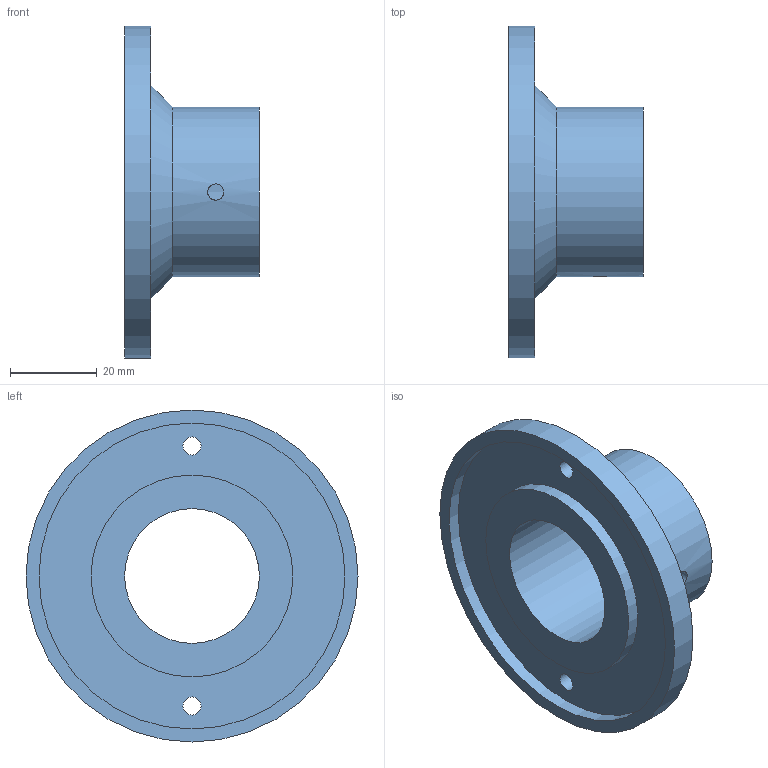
import cadquery as cq

total_length = 31.0
flange_diameter = 76.6
flange_thickness = 6.0
bore_diameter = 31.1
hub_wall = 4.0
hub_diameter = bore_diameter + 2 * hub_wall

cone_length = 5.0
cone_base_diameter = hub_diameter + 2 * cone_length
cone_end = flange_thickness + cone_length

rim_width = 3.0
recess_outer_diameter = flange_diameter - 2 * rim_width
recess_inner_diameter = 46.6
recess_depth = 3.0

mount_hole_diameter = 4.2
mount_circle_diameter = 60.0

screw_hole_diameter = 3.75
screw_hole_x = (cone_end + total_length) / 2


def make_body():
    """Revolve the flange, cone and hub around the bore."""
    bore_radius = bore_diameter / 2
    profile = (
        cq.Workplane("XZ")
        .moveTo(0, bore_radius)
        .lineTo(0, flange_diameter / 2)
        .lineTo(flange_thickness, flange_diameter / 2)
        .lineTo(flange_thickness, cone_base_diameter / 2)
        .lineTo(cone_end, hub_diameter / 2)
        .lineTo(total_length, hub_diameter / 2)
        .lineTo(total_length, bore_radius)
        .close()
    )
    return profile.revolve(360, (0, 0, 0), (1, 0, 0))


def make_recess():
    """Ring cut into the flange face between the rim and the inner land."""
    return (
        cq.Workplane("YZ")
        .circle(recess_outer_diameter / 2)
        .circle(recess_inner_diameter / 2)
        .extrude(recess_depth)
    )


def make_mount_holes():
    """Holes parallel to X, above and below the bore."""
    offset = mount_circle_diameter / 2
    return (
        cq.Workplane("YZ")
        .pushPoints([(0, offset), (0, -offset)])
        .circle(mount_hole_diameter / 2)
        .extrude(flange_thickness)
    )


def make_screw_hole():
    """Radial hole running from the axis out through the -Y wall."""
    return (
        cq.Workplane("XZ")
        .center(screw_hole_x, 0)
        .circle(screw_hole_diameter / 2)
        .extrude(hub_diameter / 2)
    )


result = make_body().cut(make_recess()).cut(make_mount_holes()).cut(make_screw_hole())